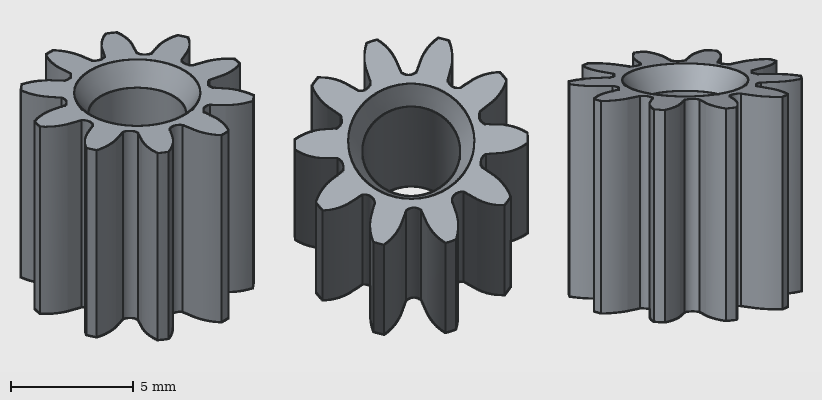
import cadquery as cq
import math

tooth_count = 10
length = 9.0
tip_radius = 4.765
root_radius = 2.97

tip_half_width = 0.23
flank_mid = (0.505, 4.26)
flank_start = (0.64, 3.69)
flank_foot = (0.67, 3.04)

bore_radius = 2.0
countersink_depth = 1.0
countersink_half_angle = 30.0

pitch_angle = 360.0 / tooth_count
tip_corner = (tip_half_width, math.sqrt(tip_radius**2 - tip_half_width**2))


def turned(point, angle):
    """Rotate a point clockwise about the axis, by an angle in degrees."""
    x, y = point
    cosine = math.cos(math.radians(angle))
    sine = math.sin(math.radians(angle))
    return (x * cosine + y * sine, y * cosine - x * sine)


def mirrored(point):
    """Reflect a point to the other flank of the tooth."""
    return (-point[0], point[1])


def add_tooth(outline, angle):
    """Draw one tooth clockwise, followed by the rounded gap after it."""

    def place(point):
        return turned(point, angle)

    next_foot = turned(mirrored(flank_foot), angle + pitch_angle)
    gap_bottom = turned((0, root_radius), angle + pitch_angle / 2)
    return (
        outline
        .lineTo(*place(mirrored(flank_start)))
        .threePointArc(place(mirrored(flank_mid)), place(mirrored(tip_corner)))
        .threePointArc(place((0, tip_radius)), place(tip_corner))
        .threePointArc(place(flank_mid), place(flank_start))
        .lineTo(*place(flank_foot))
        .threePointArc(gap_bottom, next_foot)
    )


def make_toothed_body():
    outline = cq.Workplane("XY").moveTo(*mirrored(flank_foot))
    for tooth in range(tooth_count):
        outline = add_tooth(outline, tooth * pitch_angle)
    return outline.close().extrude(length)


def make_bore():
    """Through hole, widening to the countersink at the top."""
    slope = math.tan(math.radians(countersink_half_angle))
    mouth_radius = bore_radius + countersink_depth * slope
    return (
        cq.Workplane("XZ")
        .lineTo(bore_radius, 0)
        .lineTo(bore_radius, length - countersink_depth)
        .lineTo(mouth_radius, length)
        .lineTo(0, length)
        .close()
        .revolve(360, (0, 0), (0, 1))
    )


result = make_toothed_body().cut(make_bore())